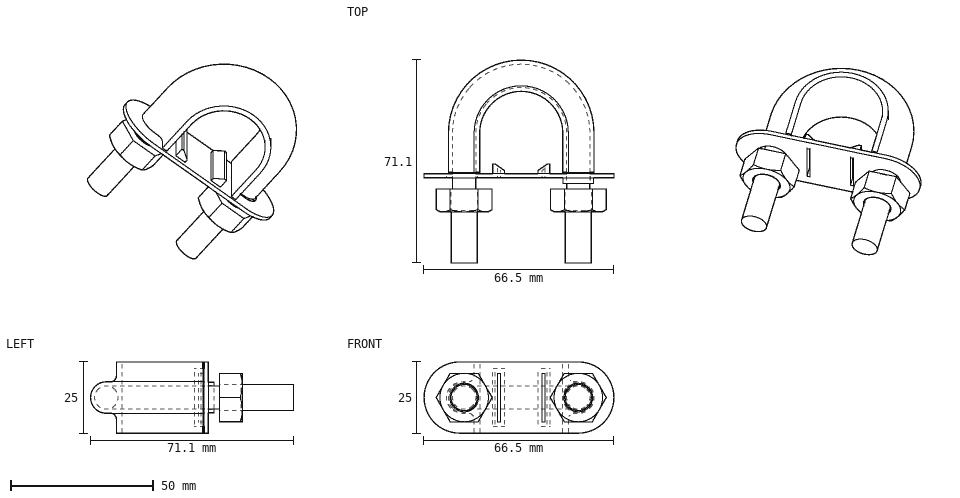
import cadquery as cq
import math


leg_offset = 20.0
rod_diameter = 8.2
stud_diameter = 9.2
stud_end_y = -45.55

sleeve_end_y = -13.8
sleeve_width = 25.0
strip_inner_radius = 14.5
strip_outer_radius = 16.5
rib_radius = 5.55
rib_fillet = 2.0

plate_length = 66.5
plate_width = sleeve_width
plate_thickness = 1.5
plate_gap = 0.5
plate_end_radius = plate_width / 2
plate_back_y = sleeve_end_y - plate_gap
plate_front_y = plate_back_y - plate_thickness
plate_right_x = leg_offset + plate_end_radius
plate_centre_x = plate_right_x - plate_length / 2
left_hole_x = -20.75

boss_diameter = 10.8
boss_height = 2.0
hole_diameter = 8.4
left_hole_diameter = 10.8

lug_inner_x = 5.8
lug_crest_x = 9.1
lug_outer_x = 10.0
lug_low_height = 1.15
lug_high_height = 3.4
lug_length = 20.2
slot_inner_x = 7.3
slot_outer_x = 8.4
slot_length = 17.0
lug_roof = 1.0

nut_flats = 17.0
nut_height = 8.0
nut_back_y = -19.6
nut_front_y = nut_back_y - nut_height
nut_chamfer_angle = 30.0
nut_mouth_diameter = 10.0
nut_mouth_depth = (nut_mouth_diameter - stud_diameter) / 2


def cylinder(x, diameter, start_y, end_y):
    """Round bar on a leg axis, from start_y toward -Y down to end_y."""
    return (
        cq.Workplane("XZ", origin=(x, start_y, 0))
        .circle(diameter / 2)
        .extrude(start_y - end_y)
    )


def follow_u(draw_section, leg_length):
    """Carry a closed section in the XZ plane round the bend and down both legs.

    draw_section returns a fresh outline each time, because every extrusion uses one up.
    """
    bend = draw_section().revolve(180, (0, 0, 0), (0, 1, 0))
    leg = draw_section().extrude(leg_length)
    return bend.union(leg).union(leg.mirror("YZ"))


def draw_rod_section():
    return cq.Workplane("XZ").moveTo(leg_offset, 0).circle(rod_diameter / 2)


def make_bolt():
    bolt = follow_u(draw_rod_section, -nut_back_y)
    for x in (-leg_offset, leg_offset):
        bolt = bolt.union(cylinder(x, stud_diameter, nut_back_y, stud_end_y))
    return bolt


def draw_sleeve_section():
    half_width = sleeve_width / 2
    fillet_z = rib_radius + rib_fillet
    fillet_x = strip_outer_radius + rib_fillet
    fillet_mid = rib_fillet * (1 - math.sqrt(0.5))
    return (
        cq.Workplane("XZ")
        .moveTo(strip_inner_radius, -half_width)
        .lineTo(strip_outer_radius, -half_width)
        .lineTo(strip_outer_radius, -fillet_z)
        .threePointArc(
            (strip_outer_radius + fillet_mid, -rib_radius - fillet_mid),
            (fillet_x, -rib_radius),
        )
        .lineTo(leg_offset, -rib_radius)
        .threePointArc((leg_offset + rib_radius, 0), (leg_offset, rib_radius))
        .lineTo(fillet_x, rib_radius)
        .threePointArc(
            (strip_outer_radius + fillet_mid, rib_radius + fillet_mid),
            (strip_outer_radius, fillet_z),
        )
        .lineTo(strip_outer_radius, half_width)
        .lineTo(strip_inner_radius, half_width)
        .close()
        .moveTo(leg_offset, 0)
        .circle(rod_diameter / 2)
    )


def make_sleeve():
    return follow_u(draw_sleeve_section, -sleeve_end_y)


def make_lug():
    """Right-hand lug, its sloped top falling toward the middle of the plate."""
    return (
        cq.Workplane("XY", origin=(0, plate_back_y, -lug_length / 2))
        .moveTo(lug_inner_x, -plate_thickness / 2)
        .lineTo(lug_outer_x, -plate_thickness / 2)
        .lineTo(lug_outer_x, lug_high_height)
        .lineTo(lug_crest_x, lug_high_height)
        .lineTo(lug_inner_x, lug_low_height)
        .close()
        .extrude(lug_length)
    )


def make_slot():
    """Right-hand slot, open at the plate front, its end parallel to the lug's slope."""
    slope = (lug_high_height - lug_low_height) / (lug_crest_x - lug_inner_x)
    inner_depth = lug_low_height + slope * (slot_inner_x - lug_inner_x) - lug_roof
    outer_depth = lug_low_height + slope * (slot_outer_x - lug_inner_x) - lug_roof
    return (
        cq.Workplane("XY", origin=(0, plate_back_y, -slot_length / 2))
        .moveTo(slot_inner_x, -plate_thickness)
        .lineTo(slot_outer_x, -plate_thickness)
        .lineTo(slot_outer_x, outer_depth)
        .lineTo(slot_inner_x, inner_depth)
        .close()
        .extrude(slot_length)
    )


def make_plate():
    plate = (
        cq.Workplane("XZ", origin=(plate_centre_x, plate_back_y, 0))
        .slot2D(plate_length, plate_width)
        .extrude(plate_thickness)
    )
    boss_end_y = plate_front_y - boss_height
    plate = plate.union(cylinder(leg_offset, boss_diameter, plate_back_y, boss_end_y))
    plate = plate.cut(cylinder(leg_offset, hole_diameter, plate_back_y, boss_end_y))

    left_hole = cylinder(left_hole_x, left_hole_diameter, plate_back_y, plate_front_y)
    plate = plate.cut(left_hole)

    lug = make_lug()
    slot = make_slot()
    plate = plate.union(lug).union(lug.mirror("YZ"))
    return plate.cut(slot).cut(slot.mirror("YZ"))


def make_nut(x):
    corner_radius = nut_flats / math.sqrt(3)
    hexagon = (
        cq.Workplane("XZ", origin=(x, nut_back_y, 0))
        .polygon(6, 2 * corner_radius)
        .extrude(nut_height)
    )
    corner_drop = (corner_radius - nut_flats / 2) * math.tan(math.radians(nut_chamfer_angle))
    envelope = (
        cq.Workplane("XY", origin=(x, 0, 0))
        .moveTo(stud_diameter / 2, nut_back_y)
        .lineTo(corner_radius, nut_back_y)
        .lineTo(corner_radius, nut_front_y + corner_drop)
        .lineTo(nut_flats / 2, nut_front_y)
        .lineTo(nut_mouth_diameter / 2, nut_front_y)
        .lineTo(stud_diameter / 2, nut_front_y + nut_mouth_depth)
        .close()
        .revolve(360, (0, 0, 0), (0, 1, 0))
    )
    return hexagon.intersect(envelope)


bolt = make_bolt()
sleeve = make_sleeve()
plate = make_plate()
nuts = [make_nut(x) for x in (-leg_offset, leg_offset)]

result = cq.Compound.makeCompound(
    [body.solids().val() for body in (bolt, sleeve, plate, *nuts)]
)